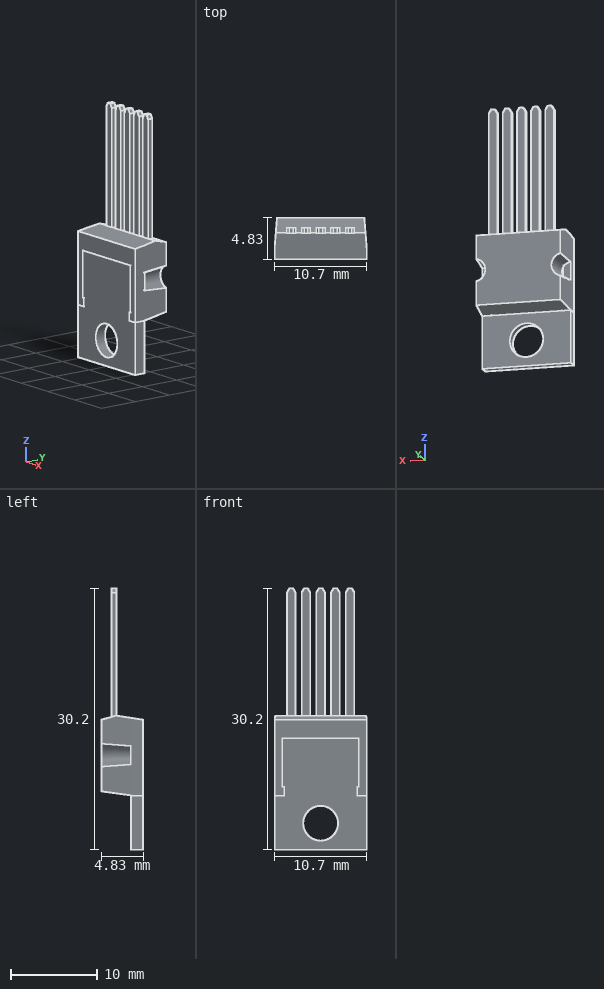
import cadquery as cq

WIDTH = 10.67
DEPTH = 4.83
HEIGHT = 30.25
HALF_WIDTH = WIDTH / 2

TAB_THICKNESS = 1.40
TAB_TOP = 12.93
TAB_INNER_WIDTH = 8.85
NECK_WIDTH = 8.44
NECK_TOP = 7.29
HOLE_DIAMETER = 4.0
HOLE_HEIGHT = 3.07

HOUSING_BOTTOM = 6.28
HOUSING_TOP = 15.53
RIDGE_DEPTH = 3.07
TOP_FALL = 0.47
BOTTOM_RISE = 0.47
SIDE_DRAFT_INSET = 0.27

NOTCH_HEIGHT = 10.94
NOTCH_FRONT_RADIUS = 1.065
NOTCH_BACK_RADIUS = 1.355

LEAD_COUNT = 5
LEAD_PITCH = 1.70
LEAD_WIDTH = 1.02
LEAD_THICKNESS = 0.62
LEAD_FRONT = 3.05
LEAD_EMBEDMENT = 2.0
LEAD_ROOT = HOUSING_TOP - LEAD_EMBEDMENT
TIP_HEIGHT = 0.50
TIP_WIDTH = 0.44


def make_tab():
    """Flat tab with a mounting hole; its upper part is narrowed to sit in the housing."""
    half_neck = NECK_WIDTH / 2
    half_inner = TAB_INNER_WIDTH / 2
    plate = (
        cq.Workplane("XZ")
        .moveTo(0, 0)
        .lineTo(HALF_WIDTH, 0)
        .lineTo(HALF_WIDTH, HOUSING_BOTTOM)
        .lineTo(half_neck, HOUSING_BOTTOM)
        .lineTo(half_neck, NECK_TOP)
        .lineTo(half_inner, NECK_TOP)
        .lineTo(half_inner, TAB_TOP)
        .lineTo(0, TAB_TOP)
        .mirrorY()
        .extrude(-TAB_THICKNESS)
    )
    hole = (
        cq.Workplane("XZ")
        .center(0, HOLE_HEIGHT)
        .circle(HOLE_DIAMETER / 2)
        .extrude(-TAB_THICKNESS)
    )
    return plate.cut(hole)


def make_block():
    """Housing block: ridged top and sloped underside, with sides drafted behind the tab."""
    side_profile = (
        cq.Workplane("YZ")
        .moveTo(0, HOUSING_BOTTOM)
        .lineTo(TAB_THICKNESS, HOUSING_BOTTOM)
        .lineTo(DEPTH, HOUSING_BOTTOM + BOTTOM_RISE)
        .lineTo(DEPTH, HOUSING_TOP - TOP_FALL)
        .lineTo(RIDGE_DEPTH, HOUSING_TOP)
        .lineTo(0, HOUSING_TOP - TOP_FALL)
        .close()
        .extrude(HALF_WIDTH, both=True)
    )
    drafted_plan = (
        cq.Workplane("XY")
        .moveTo(0, 0)
        .lineTo(HALF_WIDTH, 0)
        .lineTo(HALF_WIDTH, TAB_THICKNESS)
        .lineTo(HALF_WIDTH - SIDE_DRAFT_INSET, DEPTH)
        .lineTo(0, DEPTH)
        .mirrorY()
        .extrude(HOUSING_TOP)
    )
    return side_profile.intersect(drafted_plan)


def make_notch(side):
    """Cone that widens toward the back, centred on the full-width side plane."""
    return cq.Solid.makeCone(
        NOTCH_FRONT_RADIUS,
        NOTCH_BACK_RADIUS,
        DEPTH - TAB_THICKNESS,
        pnt=cq.Vector(side * HALF_WIDTH, TAB_THICKNESS, NOTCH_HEIGHT),
        dir=cq.Vector(0, 1, 0),
    )


def make_lead(x_center):
    """Flat lead with a bevelled tip, rooted inside the housing block."""
    half_lead = LEAD_WIDTH / 2
    half_tip = TIP_WIDTH / 2
    shoulder = HEIGHT - TIP_HEIGHT
    return (
        cq.Workplane("XZ", origin=(x_center, LEAD_FRONT, 0))
        .moveTo(-half_lead, LEAD_ROOT)
        .lineTo(half_lead, LEAD_ROOT)
        .lineTo(half_lead, shoulder)
        .lineTo(half_tip, HEIGHT)
        .lineTo(-half_tip, HEIGHT)
        .lineTo(-half_lead, shoulder)
        .close()
        .extrude(-LEAD_THICKNESS)
    )


def make_housing(tab_solid):
    """Notched block with the leads grown from its top and a recess that fits the tab."""
    body = make_block()
    for side in (-1, 1):
        body = body.cut(cq.Workplane(obj=make_notch(side)))
    for index in range(LEAD_COUNT):
        x_center = (index - (LEAD_COUNT - 1) / 2) * LEAD_PITCH
        body = body.union(make_lead(x_center))
    return body.cut(tab_solid)


tab = make_tab()
housing = make_housing(tab)

result = cq.Compound.makeCompound([tab.val(), housing.val()])